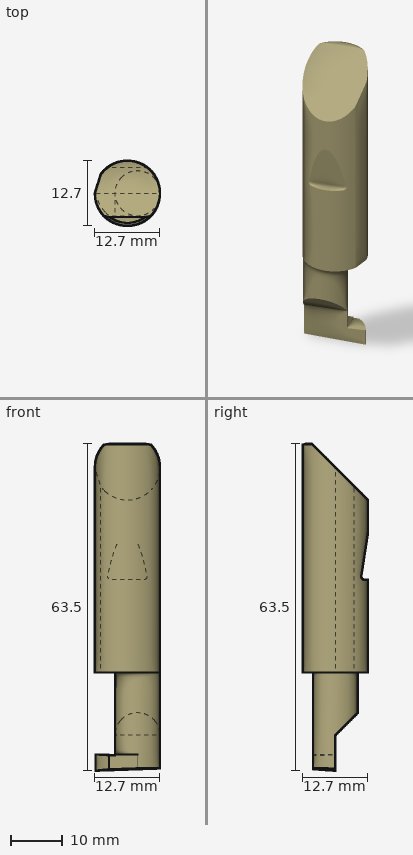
import cadquery as cq
import math

overall_length = 63.5
shank_diameter = 12.7
shank_radius = shank_diameter / 2
neck_length = 19.05
shank_length = overall_length - neck_length

edge_break_radial = 0.6
edge_break_axial = 0.2
end_land_width = 1.75
bevel_start_y = end_land_width - shank_radius

flat_chord_angle = 35.0

notch_depth = 1.3
notch_bottom_z = shank_length - 26.4
notch_top_z = shank_length - 17.3
notch_floor_length = 0.7
notch_corner_radius = 0.6

neck_radius = 4.38
neck_center_x = shank_radius - neck_radius
neck_relief_start_z = -7.75

tip_x = -6.2
tooth_width = 3.22
heel_x = -3.55
heel_arc_radius = 8.0
tooth_root_x = neck_center_x - neck_radius
bottom_side_relief = 2.0
bottom_front_relief = 3.0
top_side_relief = 2.0
top_front_relief = 1.5
tip_bottom_z = -neck_length
tip_top_z = tip_bottom_z + tooth_width

clearance = 20.0


def cut_prism_along_x(points):
    """Return a prism across the whole part from a (Y, Z) outline."""
    return cq.Workplane("YZ").polyline(points).close().extrude(clearance, both=True)


def make_shank_blank():
    """Revolve the round shank with the broken edge at its upper end."""
    return (
        cq.Workplane("XZ")
        .lineTo(shank_radius, 0)
        .lineTo(shank_radius, shank_length - edge_break_axial)
        .lineTo(shank_radius - edge_break_radial, shank_length)
        .lineTo(0, shank_length)
        .close()
        .revolve(360, (0, 0, 0), (0, 1, 0))
    )


def make_end_bevel():
    """Return the material above the 45 degree plane at the shank end."""
    return cut_prism_along_x([
        (bevel_start_y, shank_length),
        (bevel_start_y + clearance, shank_length - clearance),
        (bevel_start_y + clearance, shank_length),
    ])


def make_side_flat():
    """Return the material outside the chord on the -X side."""
    middle_angle = flat_chord_angle / 2
    chord_distance = shank_radius * math.cos(math.radians(middle_angle))
    return (
        cq.Workplane("XY")
        .center(-chord_distance - clearance / 2, 0)
        .rect(clearance, clearance)
        .extrude(shank_length)
        .rotate((0, 0, 0), (0, 0, 1), -middle_angle)
    )


def make_notch():
    """Return the ramped notch with its rounded lower corner."""
    floor_y = shank_radius - notch_depth
    notch = cut_prism_along_x([
        (floor_y, notch_bottom_z),
        (floor_y, notch_bottom_z + notch_floor_length),
        (shank_radius, notch_top_z),
        (shank_radius, notch_bottom_z),
    ])
    lower_corner = cq.selectors.NearestToPointSelector((0, floor_y, notch_bottom_z))
    return notch.edges(lower_corner).fillet(notch_corner_radius)


def make_shank():
    shank = make_shank_blank()
    return shank.cut(make_end_bevel()).cut(make_side_flat()).cut(make_notch())


def make_neck():
    """Build the eccentric neck and halve its lower end, with a 45 degree run-out."""
    neck = cq.Workplane("XY").center(neck_center_x, 0).circle(neck_radius).extrude(-neck_length)
    relief = cut_prism_along_x([
        (0, neck_relief_start_z - neck_radius),
        (clearance, neck_relief_start_z - neck_radius + clearance),
        (clearance, tip_bottom_z),
        (0, tip_bottom_z),
    ])
    return neck.cut(relief)


def make_head():
    """Build the tooth and its support up to the front of the neck."""
    return (
        cq.Workplane("XY", origin=(0, 0, tip_bottom_z))
        .moveTo(neck_center_x, 0)
        .lineTo(tip_x, 0)
        .radiusArc((heel_x, -neck_radius), -heel_arc_radius)
        .lineTo(neck_center_x, -neck_radius)
        .close()
        .extrude(tooth_width)
    )


def make_relief(edge_z, direction, side_angle, front_angle):
    """Return a block beyond a plane through the tip, relieved towards +X and -Y.

    A direction of 1 relieves the upper side and -1 the lower side.
    """
    normal = (
        math.tan(math.radians(side_angle)),
        -math.tan(math.radians(front_angle)),
        direction,
    )
    relief_plane = cq.Plane(origin=(tip_x, 0, edge_z), xDir=(1, 0, -direction * normal[0]), normal=normal)
    return cq.Workplane(relief_plane).rect(2 * clearance, 2 * clearance).extrude(tooth_width)


def make_tooth_top_relief():
    """Limit the upper relief to the tooth, leaving the support flat."""
    tooth_zone = (
        cq.Workplane("XY", origin=(tooth_root_x - clearance / 2, 0, tip_bottom_z))
        .rect(clearance, clearance)
        .extrude(2 * tooth_width)
    )
    top_relief = make_relief(tip_top_z, 1, top_side_relief, top_front_relief)
    return top_relief.intersect(tooth_zone)


head = make_head().cut(make_tooth_top_relief())
bottom_relief = make_relief(tip_bottom_z, -1, bottom_side_relief, bottom_front_relief)
result = make_shank().union(make_neck()).union(head).cut(bottom_relief)